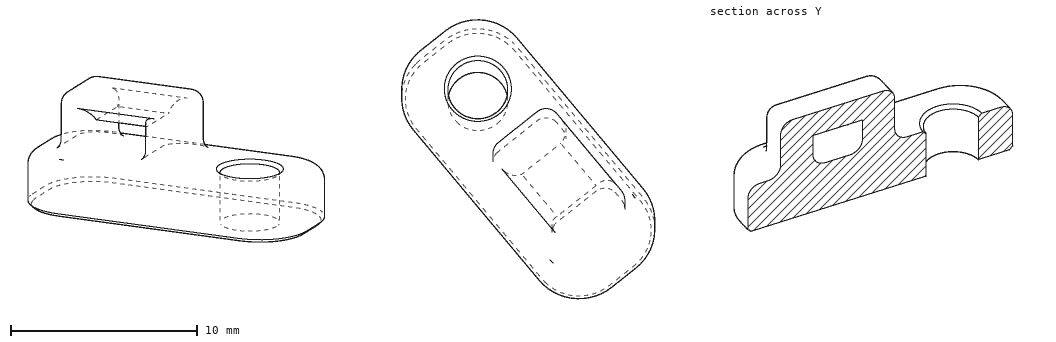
import cadquery as cq

base_length = 16.2
base_width = 7.2
base_height = 3.0
base_corner_radius = 2.75
bottom_chamfer = 0.2

round_radius = 0.75

loop_start = 2.0
loop_length = 7.0
loop_width = 4.2
loop_top = 6.5
leg_length = 2.0
bar_thickness = 1.5
bar_bevel = 0.75

hole_diameter = 3.2
hole_chamfer = 0.2
hole_x = 12.5
hole_y = -0.1

bar_bottom = loop_top - bar_thickness
leg_starts = (loop_start, loop_start + loop_length - leg_length)


def block(start_x, length, width, bottom, top):
    """Block centred on Y = 0, running along X from start_x."""
    return (
        cq.Workplane("XY", origin=(start_x + length / 2, 0, bottom))
        .rect(length, width)
        .extrude(top - bottom)
    )


def make_base():
    base = block(0, base_length, base_width, 0, base_height)
    base = base.edges("|Z").fillet(base_corner_radius)
    base = base.faces("<Z").edges().chamfer(bottom_chamfer)
    return base.faces(">Z").edges().fillet(round_radius)


def make_leg(start_x):
    """Leg with rounded upright edges and a foot that flares out onto the plate."""
    leg = block(start_x, leg_length, loop_width, base_height, loop_top)
    leg = leg.edges("|Z").fillet(round_radius)

    pad_margin = 2 * round_radius
    pad = block(
        start_x - pad_margin,
        leg_length + 2 * pad_margin,
        loop_width + 2 * pad_margin,
        base_height - round_radius,
        base_height,
    )
    reach = round_radius / 2
    foot_line = cq.selectors.BoxSelector(
        (start_x - reach, -loop_width / 2 - reach, base_height - reach),
        (start_x + leg_length + reach, loop_width / 2 + reach, base_height + reach),
    )
    leg = pad.union(leg).edges(foot_line).fillet(round_radius)
    return leg.cut(pad)


def make_bar():
    """Bar between the leg centres, with its two lower long edges bevelled."""
    first_leg, last_leg = leg_starts
    bar_length = last_leg - first_leg
    bar = block(first_leg + leg_length / 2, bar_length, loop_width, bar_bottom, loop_top)
    return bar.faces("<Z").edges("|X").chamfer(bar_bevel)


def make_hole():
    """Tool for the through hole with its bevelled upper rim."""
    radius = hole_diameter / 2
    hole = cq.Workplane("XY", origin=(hole_x, hole_y, 0)).circle(radius).extrude(base_height)
    rim = cq.Solid.makeCone(
        radius,
        radius + hole_chamfer,
        hole_chamfer,
        pnt=cq.Vector(hole_x, hole_y, base_height - hole_chamfer),
    )
    return hole.union(cq.Workplane(rim))


def make_loop():
    """Legs and bar joined, with the whole top rim rounded."""
    loop = make_bar()
    for start_x in leg_starts:
        loop = loop.union(make_leg(start_x))
    crown = block(loop_start, loop_length, loop_width, bar_bottom, loop_top)
    rounded_crown = crown.edges("|Z").fillet(round_radius)
    rounded_crown = rounded_crown.faces(">Z").edges().fillet(round_radius)
    return loop.cut(crown.cut(rounded_crown))


result = make_base().union(make_loop()).cut(make_hole())